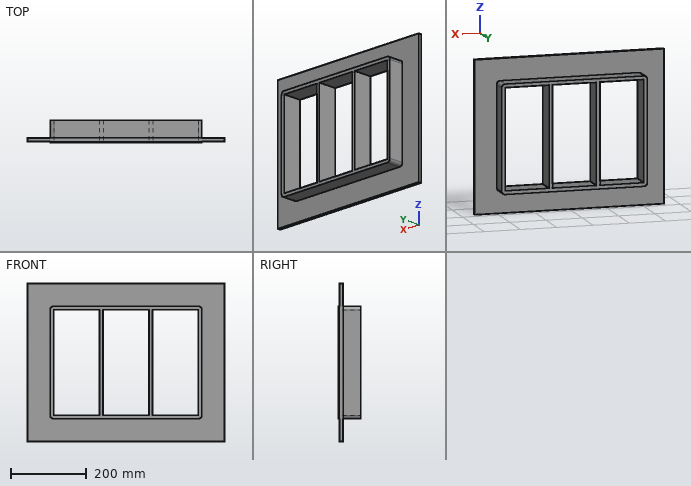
import cadquery as cq

cell_count = 3
cell_width = 120.5
cell_height = 278.0
wall = 10.0

frame_depth = 60.0
frame_corner_radius = 10.0
cell_pitch = cell_width + wall
frame_width = cell_count * cell_pitch + wall
frame_height = cell_height + 2 * wall

flange_margin = 60.0
flange_thickness = 10.0
frame_projection = 3.0
flange_width = frame_width + 2 * flange_margin
flange_height = frame_height + 2 * flange_margin


def block(width, height, front, depth):
    """Box centred on X and Z that runs from y = front toward +Y."""
    return cq.Workplane("XY").box(width, depth, height).translate((0, front + depth / 2, 0))


def make_flange():
    return block(flange_width, flange_height, 0, flange_thickness)


def make_frame():
    frame = block(frame_width, frame_height, -frame_projection, frame_depth)
    return frame.edges("|Y").fillet(frame_corner_radius)


def cut_cells(body):
    """Cut the row of rectangular openings through the full depth."""
    opening = block(cell_width, cell_height, -frame_projection, frame_depth)
    for index in range(cell_count):
        offset = (index - (cell_count - 1) / 2) * cell_pitch
        body = body.cut(opening.translate((offset, 0, 0)))
    return body


result = cut_cells(make_flange().union(make_frame()))